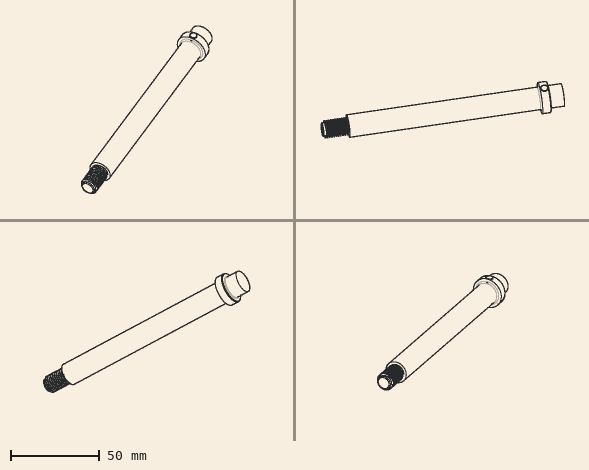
import cadquery as cq

total_length = 138.0
rod_diameter = 13.0
stud_length = 15.0
rod_end_y = total_length / 2
stud_tip_y = -total_length / 2
shoulder_y = stud_tip_y + stud_length

collar_diameter = 18.0
collar_width = 5.0
collar_setback = 8.0
collar_chamfer = 0.4
collar_front_fillet = 0.8
collar_back_fillet = 0.4
collar_back_y = rod_end_y - collar_setback
collar_front_y = collar_back_y - collar_width
collar_middle_y = (collar_back_y + collar_front_y) / 2

thread_diameter = 10.0
thread_root_diameter = 8.0
thread_pitch = 1.25
ridge_root_width = 0.7 * thread_pitch
ridge_crest_width = thread_pitch / 8
ridge_embedding = 0.07
thread_runout = 1.2
tip_chamfer = 0.5

plug_diameter = 4.3
plug_chamfer = 0.3
plug_floor_z = rod_diameter / 2

turning_plane = cq.Plane(origin=(0, 0, 0), xDir=(0, 0, 1), normal=(-1, 0, 0))


def turn(profile):
    """Revolve a closed (radius, Y) profile a full turn about the Y axis."""
    return profile.close().revolve(360, (0, 0, 0), (0, 1, 0))


def cylinder_along_y(diameter, start_y, end_y):
    """Solid cylinder on the Y axis between two Y positions."""
    profile = (
        cq.Workplane(turning_plane)
        .moveTo(0, start_y)
        .lineTo(diameter / 2, start_y)
        .lineTo(diameter / 2, end_y)
        .lineTo(0, end_y)
    )
    return turn(profile)


def make_plain_rod():
    """Rod with the collar blended into it by a fillet on each side."""
    rod_radius = rod_diameter / 2
    collar_radius = collar_diameter / 2
    profile = (
        cq.Workplane(turning_plane)
        .moveTo(0, shoulder_y)
        .lineTo(rod_radius, shoulder_y)
        .lineTo(rod_radius, collar_front_y - collar_front_fillet)
        .radiusArc((rod_radius + collar_front_fillet, collar_front_y), collar_front_fillet)
        .lineTo(collar_radius, collar_front_y)
        .lineTo(collar_radius, collar_back_y - collar_chamfer)
        .lineTo(collar_radius - collar_chamfer, collar_back_y)
        .lineTo(rod_radius + collar_back_fillet, collar_back_y)
        .radiusArc((rod_radius, collar_back_y + collar_back_fillet), collar_back_fillet)
        .lineTo(rod_radius, rod_end_y)
        .lineTo(0, rod_end_y)
    )
    return turn(profile)


def make_thread_ridge():
    """Right-handed helical ridge from the shoulder to just short of the stud tip."""
    base_radius = thread_root_diameter / 2 - ridge_embedding
    crest_radius = thread_diameter / 2
    ridge_length = stud_length - thread_runout
    helix = cq.Wire.makeHelix(thread_pitch, ridge_length, base_radius)
    ridge = (
        cq.Workplane("XZ")
        .moveTo(base_radius, -ridge_root_width / 2)
        .lineTo(crest_radius, -ridge_crest_width / 2)
        .lineTo(crest_radius, ridge_crest_width / 2)
        .lineTo(base_radius, ridge_root_width / 2)
        .close()
        .sweep(cq.Workplane(helix), isFrenet=True)
    )
    return ridge.rotate((0, 0, 0), (1, 0, 0), 90).translate((0, shoulder_y, 0))


def make_stud():
    """Stud core with a chamfered tip, carrying the thread ridge."""
    core = cylinder_along_y(thread_root_diameter, stud_tip_y, shoulder_y)
    core = core.faces("<Y").chamfer(tip_chamfer)
    return core.union(make_thread_ridge())


def make_plug_blank():
    """Upright cylinder whose top follows the round outside of the collar."""
    column = (
        cq.Workplane("XY", origin=(0, collar_middle_y, plug_floor_z))
        .circle(plug_diameter / 2)
        .extrude(collar_diameter / 2)
    )
    return column.intersect(cylinder_along_y(collar_diameter, collar_front_y, collar_back_y))


def make_plug():
    return make_plug_blank().faces(">Z").edges().chamfer(plug_chamfer)


def make_rod():
    """Rod, collar and stud in one piece, with the hole that takes the plug."""
    return make_plain_rod().union(make_stud()).cut(make_plug_blank())


rod = make_rod()
plug = make_plug()

result = cq.Compound.makeCompound([rod.val(), plug.val()])